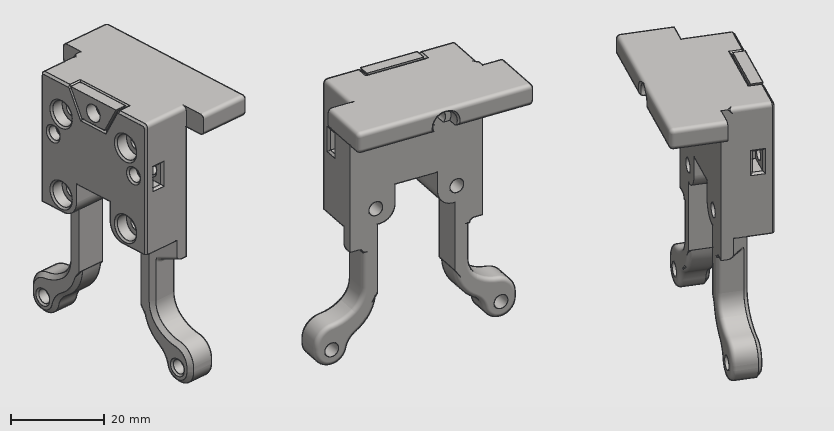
import cadquery as cq
import math


BLOCK_WIDTH = 32.7
BLOCK_DEPTH = 11.95
BLOCK_HEIGHT = 32.1
EDGE_CHAMFER = 0.5
ROUND = 1.0
LEFT_ROUND_LENGTH = 10.5

NOTCH_WIDTH = 10.5
NOTCH_DROP = 23.4
LOBE_RADIUS = 3.9

SHELF_WIDTH = 43.5
SHELF_DEPTH = 12.9
SHELF_THICKNESS = 5.0

SCREW_DIAMETER = 3.4
HEAD_DIAMETER = 6.0
HEAD_DEPTH = 3.2
RIM_CHAMFER = 0.45
SCREW_SPACING = 20.0
SCREW_DROP = 8.1

NUT_SLOT_THICKNESS = 2.3
NUT_SLOT_HEIGHT = 5.25
NUT_SLOT_LENGTH = 6.0
NUT_SLOT_Y = 3.7
NUT_SLOT_DROP = 14.0
NUT_HOLE_SPACING = 24.9
NUT_HOLE_DEPTH = 9.6

INSERT_TOP_WIDTH = 14.05
INSERT_BOTTOM_WIDTH = 7.0
INSERT_HEIGHT = 6.5
INSERT_DEPTH = 2.8
INSERT_GAP = 0.2
INSERT_HOLE_DIAMETER = 4.2
INSERT_HOLE_DROP = 3.7

ARM_INNER_X = 9.6
ARM_OUTER_X = 13.15
ARM_THICKNESS = 6.95
ARM_CHAMFER = 1.0
FOOT_HEIGHT = 5.05
OUTER_BEND_RADIUS = 6.0
OUTER_BEND_DROP = 47.2
SADDLE_RADIUS = 10.0
SHOULDER_RADIUS = 4.8
SHOULDER_DROP = 58.8
INNER_BEND_RADIUS = 10.3
INNER_BEND_DROP = 48.6
NECK_RADIUS = 5.25
EYE_RADIUS = 3.95
TIP_X = 24.85
ARM_LENGTH = 63.9
RUNOUT_DROP = 49.1
RUNOUT_SLOPE = 1.4

TOTAL_DEPTH = BLOCK_DEPTH + SHELF_DEPTH
HALF_BLOCK = BLOCK_WIDTH / 2
HALF_NOTCH = NOTCH_WIDTH / 2
POCKET_DEPTH = INSERT_DEPTH + INSERT_GAP
ARM_FRONT = BLOCK_DEPTH - ARM_THICKNESS
SLANT_X = ARM_OUTER_X - ARM_CHAMFER
SLANT_SIZE = HALF_BLOCK - SLANT_X
FOOT_DROP = BLOCK_HEIGHT + FOOT_HEIGHT
EYE_X = TIP_X - EYE_RADIUS
EYE_DROP = ARM_LENGTH - EYE_RADIUS

MARGIN = 0.05
OVERSIZE = 127.8




def front_plane(y):
    """Sketch plane at depth y with local axes X and Z; a negative extrusion goes towards +Y."""
    return cq.Workplane(cq.Plane(origin=(0, y, 0), xDir=(1, 0, 0), normal=(0, -1, 0)))


def round_hole(x, z, y, depth, diameter):
    return front_plane(y).center(x, z).circle(diameter / 2).extrude(-depth)


def rim_cone(x, z, y, diameter, direction):
    """Chamfer at the rim of a hole, narrowing from depth y along direction (+1 or -1) in Y."""
    cone = cq.Solid.makeCone(
        diameter / 2 + RIM_CHAMFER,
        diameter / 2,
        RIM_CHAMFER,
        pnt=cq.Vector(x, y, z),
        dir=cq.Vector(0, direction, 0),
    )
    return cq.Workplane(cone)


def circle_crossing(first, first_radius, second, second_radius):
    """Point where two circles cross, on the right of the line from first to second."""
    dx = second[0] - first[0]
    dz = second[1] - first[1]
    distance = math.hypot(dx, dz)
    along = (distance**2 + first_radius**2 - second_radius**2) / (2 * distance)
    aside = math.sqrt(first_radius**2 - along**2)
    return (
        first[0] + (along * dx + aside * dz) / distance,
        first[1] + (along * dz - aside * dx) / distance,
    )


def point_toward(start, end, distance):
    share = distance / math.hypot(end[0] - start[0], end[1] - start[1])
    return (start[0] + share * (end[0] - start[0]), start[1] + share * (end[1] - start[1]))




def trapezoid(gap, depth):
    """Insert shape, grown by the gap on its slanted sides and its bottom."""
    slope = (INSERT_TOP_WIDTH - INSERT_BOTTOM_WIDTH) / 2 / INSERT_HEIGHT
    height = INSERT_HEIGHT + gap
    half_top = INSERT_TOP_WIDTH / 2 + gap * math.hypot(1, slope)
    half_bottom = half_top - slope * height
    corners = [(-half_top, 0), (half_top, 0), (half_bottom, -height), (-half_bottom, -height)]
    return front_plane(0).polyline(corners).close().extrude(-depth)


def make_insert():
    hole = round_hole(0, -INSERT_HOLE_DROP, 0, INSERT_DEPTH, INSERT_HOLE_DIAMETER)
    return trapezoid(0, INSERT_DEPTH).cut(hole)




def left_round_waste():
    """Waste outside the rounded top-left edge, which ends on a slant before the shelf."""
    waste = (
        front_plane(0)
        .moveTo(-HALF_BLOCK, 0)
        .lineTo(-HALF_BLOCK, -ROUND)
        .radiusArc((-HALF_BLOCK + ROUND, 0), ROUND)
        .close()
        .extrude(-LEFT_ROUND_LENGTH)
    )
    end_plane = cq.Plane(origin=(-HALF_BLOCK, LEFT_ROUND_LENGTH, 0), normal=(1, 1, -1))
    before_end = cq.Workplane(end_plane).rect(OVERSIZE, OVERSIZE).extrude(-OVERSIZE)
    return waste.intersect(before_end)


def make_block():
    block = (
        front_plane(0)
        .moveTo(-HALF_BLOCK, 0)
        .lineTo(HALF_BLOCK, 0)
        .lineTo(HALF_BLOCK, -BLOCK_HEIGHT)
        .lineTo(HALF_NOTCH + LOBE_RADIUS, -BLOCK_HEIGHT)
        .radiusArc((HALF_NOTCH, -BLOCK_HEIGHT + LOBE_RADIUS), LOBE_RADIUS)
        .lineTo(HALF_NOTCH, -NOTCH_DROP)
        .lineTo(-HALF_NOTCH, -NOTCH_DROP)
        .lineTo(-HALF_NOTCH, -BLOCK_HEIGHT + LOBE_RADIUS)
        .radiusArc((-HALF_NOTCH - LOBE_RADIUS, -BLOCK_HEIGHT), LOBE_RADIUS)
        .lineTo(-HALF_BLOCK, -BLOCK_HEIGHT)
        .close()
        .extrude(-BLOCK_DEPTH)
    )
    block = block.edges("|Y and >X and >Z").fillet(ROUND)
    block = block.cut(left_round_waste())
    block = block.cut(trapezoid(INSERT_GAP, POCKET_DEPTH))

    front_rim = cq.selectors.BoxSelector(
        (-BLOCK_WIDTH, -MARGIN, MARGIN - NOTCH_DROP),
        (BLOCK_WIDTH, MARGIN, MARGIN),
    )
    pocket_top_rim = cq.selectors.BoxSelector(
        (-INSERT_TOP_WIDTH, MARGIN, -MARGIN),
        (INSERT_TOP_WIDTH, POCKET_DEPTH + MARGIN, MARGIN),
    )
    return block.edges(front_rim + pocket_top_rim).chamfer(EDGE_CHAMFER)


def make_shelf():
    shelf = (
        cq.Workplane("XY", origin=(0, BLOCK_DEPTH, -SHELF_THICKNESS))
        .box(SHELF_WIDTH, SHELF_DEPTH, SHELF_THICKNESS, centered=(True, False, False))
    )
    return shelf.edges("|Y or >Y").fillet(ROUND)




def arm_strip():
    """Arm with its eye, chamfered in front and rounded behind."""
    outer_bend = (ARM_OUTER_X + OUTER_BEND_RADIUS, -OUTER_BEND_DROP)
    shoulder = (TIP_X - SHOULDER_RADIUS, -SHOULDER_DROP)
    saddle = circle_crossing(
        shoulder, SADDLE_RADIUS + SHOULDER_RADIUS, outer_bend, SADDLE_RADIUS - OUTER_BEND_RADIUS
    )
    inner_bend = (ARM_INNER_X + INNER_BEND_RADIUS, -INNER_BEND_DROP)
    eye = (EYE_X, -EYE_DROP)
    neck = circle_crossing(inner_bend, INNER_BEND_RADIUS + NECK_RADIUS, eye, EYE_RADIUS + NECK_RADIUS)

    strip = (
        front_plane(ARM_FRONT)
        .moveTo(ARM_INNER_X, -BLOCK_HEIGHT)
        .lineTo(ARM_OUTER_X, -BLOCK_HEIGHT)
        .lineTo(ARM_OUTER_X, -OUTER_BEND_DROP)
        .radiusArc(point_toward(saddle, outer_bend, SADDLE_RADIUS), -OUTER_BEND_RADIUS)
        .radiusArc(point_toward(saddle, shoulder, SADDLE_RADIUS), -SADDLE_RADIUS)
        .radiusArc((TIP_X, -SHOULDER_DROP), SHOULDER_RADIUS)
        .lineTo(TIP_X, -EYE_DROP)
        .radiusArc((EYE_X, -ARM_LENGTH), EYE_RADIUS)
        .radiusArc(point_toward(eye, neck, EYE_RADIUS), EYE_RADIUS)
        .radiusArc(point_toward(inner_bend, neck, INNER_BEND_RADIUS), -NECK_RADIUS)
        .radiusArc((ARM_INNER_X, -INNER_BEND_DROP), INNER_BEND_RADIUS)
        .close()
        .extrude(-ARM_THICKNESS)
    )
    strip = strip.faces("<Y").edges("not >Z").chamfer(ARM_CHAMFER)
    return strip.faces(">Y").edges("not >Z").fillet(ROUND)


def arm_inner_corner():
    """Keeps the inner side of the arm square-edged down to a slanted end at the inner bend."""
    width = 2 * ARM_CHAMFER
    return (
        front_plane(ARM_FRONT)
        .moveTo(ARM_INNER_X, -BLOCK_HEIGHT)
        .lineTo(ARM_INNER_X, -RUNOUT_DROP)
        .lineTo(ARM_INNER_X + width, -RUNOUT_DROP - RUNOUT_SLOPE * width)
        .lineTo(ARM_INNER_X + width, -BLOCK_HEIGHT)
        .close()
        .extrude(-ARM_THICKNESS)
    )


def arm_foot():
    """Wide step under the block, slanted in front and blended into the arm below it."""
    slant_corner = (HALF_BLOCK, ARM_FRONT + SLANT_SIZE)
    foot = (
        cq.Workplane("XY", origin=(0, 0, -FOOT_DROP))
        .moveTo(ARM_INNER_X, BLOCK_DEPTH)
        .lineTo(HALF_BLOCK, BLOCK_DEPTH)
        .lineTo(*slant_corner)
        .lineTo(SLANT_X, ARM_FRONT)
        .lineTo(ARM_INNER_X, ARM_FRONT)
        .close()
        .extrude(FOOT_HEIGHT)
    )
    slant_bottom = cq.selectors.BoxSelector(
        (SLANT_X + MARGIN, ARM_FRONT + MARGIN, -FOOT_DROP - MARGIN),
        (HALF_BLOCK - MARGIN, BLOCK_DEPTH - MARGIN, -FOOT_DROP + MARGIN),
    )
    foot = foot.edges(slant_bottom).fillet(ROUND)

    shaft = cq.Workplane("XY", origin=(ARM_INNER_X, ARM_FRONT, -FOOT_DROP - 2 * ROUND)).box(
        ARM_OUTER_X - ARM_INNER_X, ARM_THICKNESS, FOOT_HEIGHT, centered=False
    )
    inside_corner = cq.selectors.BoxSelector(
        (ARM_OUTER_X - MARGIN, ARM_FRONT, -FOOT_DROP - MARGIN),
        (ARM_OUTER_X + MARGIN, BLOCK_DEPTH, -FOOT_DROP + MARGIN),
    )
    foot = foot.union(shaft).edges(inside_corner).fillet(ROUND)

    slant_waste = (
        cq.Workplane("XY", origin=(0, 0, -ARM_LENGTH))
        .polyline([(SLANT_X, ARM_FRONT), (HALF_BLOCK, ARM_FRONT), slant_corner])
        .close()
        .extrude(ARM_LENGTH)
    )
    below_blend = cq.Workplane("XY", origin=(0, 0, -FOOT_DROP - ROUND)).rect(OVERSIZE, OVERSIZE)
    return foot.cut(slant_waste).cut(below_blend.extrude(-ARM_LENGTH))


def make_arm():
    arm = arm_strip().union(arm_inner_corner()).union(arm_foot())
    arm = arm.cut(round_hole(EYE_X, -EYE_DROP, ARM_FRONT, ARM_THICKNESS, SCREW_DIAMETER))
    return arm.cut(rim_cone(EYE_X, -EYE_DROP, ARM_FRONT, SCREW_DIAMETER, 1))




def cut_screw_holes(body):
    for x in (-SCREW_SPACING / 2, SCREW_SPACING / 2):
        for z in (-SCREW_DROP, -SCREW_DROP - SCREW_SPACING):
            body = body.cut(round_hole(x, z, 0, BLOCK_DEPTH, SCREW_DIAMETER))
            body = body.cut(round_hole(x, z, 0, HEAD_DEPTH, HEAD_DIAMETER))
            body = body.cut(rim_cone(x, z, 0, HEAD_DIAMETER, 1))
    return body


def nut_slot(side):
    """Slot that opens through the side face with a chamfered rim; side is -1 or +1."""
    x = side * HALF_BLOCK
    slot = cq.Workplane("XY", origin=(x, NUT_SLOT_Y, -NUT_SLOT_DROP)).box(
        2 * NUT_SLOT_LENGTH, NUT_SLOT_THICKNESS, NUT_SLOT_HEIGHT
    )
    rim = (
        cq.Workplane("YZ", origin=(x, NUT_SLOT_Y, -NUT_SLOT_DROP))
        .rect(NUT_SLOT_THICKNESS + 2 * EDGE_CHAMFER, NUT_SLOT_HEIGHT + 2 * EDGE_CHAMFER)
        .workplane(offset=-side * EDGE_CHAMFER)
        .rect(NUT_SLOT_THICKNESS, NUT_SLOT_HEIGHT)
        .loft(ruled=True)
    )
    return slot.union(rim)


def cut_nut_slots(body):
    slot_back = NUT_SLOT_Y + NUT_SLOT_THICKNESS / 2
    z = -NUT_SLOT_DROP
    for side in (-1, 1):
        x = side * NUT_HOLE_SPACING / 2
        body = body.cut(nut_slot(side))
        body = body.cut(round_hole(x, z, 0, NUT_HOLE_DEPTH, SCREW_DIAMETER))
        for rim_y in (0, slot_back):
            body = body.cut(rim_cone(x, z, rim_y, SCREW_DIAMETER, 1))
    return body


def cut_center_hole(body):
    """Hole behind the insert, with a head recess in the back edge of the shelf."""
    z = -INSERT_HOLE_DROP
    body = body.cut(round_hole(0, z, 0, TOTAL_DEPTH, SCREW_DIAMETER))
    body = body.cut(rim_cone(0, z, POCKET_DEPTH, SCREW_DIAMETER, 1))
    body = body.cut(round_hole(0, z, TOTAL_DEPTH - HEAD_DEPTH, HEAD_DEPTH, HEAD_DIAMETER))
    return body.cut(rim_cone(0, z, TOTAL_DEPTH, HEAD_DIAMETER, -1))




def make_housing():
    arm = make_arm()
    body = make_block().union(make_shelf()).union(arm).union(arm.mirror("YZ"))
    body = cut_screw_holes(body)
    body = cut_nut_slots(body)
    return cut_center_hole(body).solids()


housing = make_housing()
insert = make_insert()
result = cq.Compound.makeCompound([housing.val(), insert.val()])